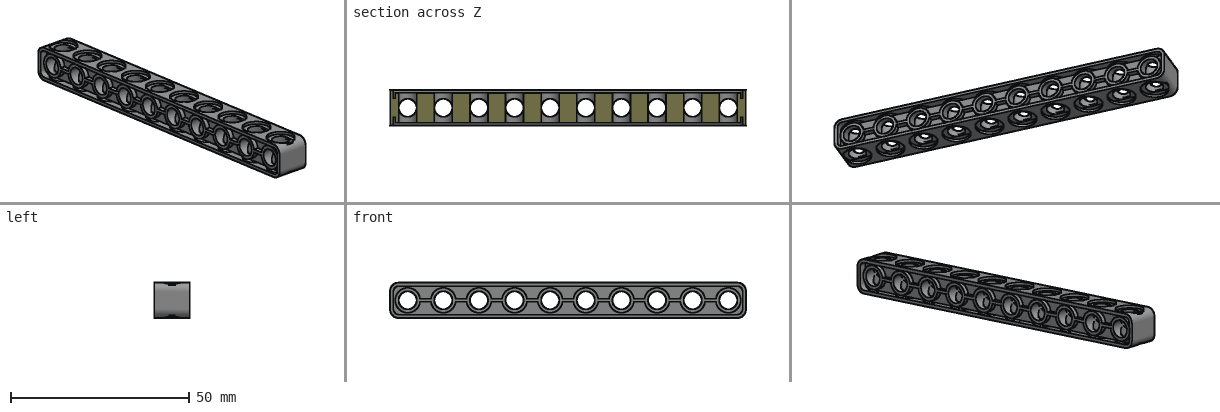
import cadquery as cq

pitch = 10.0
hole_count = 10
length = hole_count * pitch
width = pitch
height = pitch
corner_radius = 2.5

hole_diameter = 5.0
counterbore_diameter = 8.0
counterbore_depth = 0.8

wall = 1.0
pocket_depth = 2.3
boss_diameter = 7.0
boss_and_rib_recess = 0.8
rib_thickness = 0.9

hole_centers = [((i - (hole_count - 1) / 2) * pitch, 0) for i in range(hole_count)]


def rounded_bar(inset, depth):
    """Bar centred on the origin, its outline in XZ shrunk by inset, its depth along Y."""
    return (
        cq.Workplane("XY")
        .box(length - 2 * inset, depth, height - 2 * inset)
        .edges("|Y")
        .fillet(corner_radius - inset)
    )


def cylinders(plane, diameter, depth, offset=0.0):
    """Row of cylinders, one per hole, centred at offset along the plane normal."""
    return (
        cq.Workplane(plane)
        .workplane(offset=offset)
        .pushPoints(hole_centers)
        .circle(diameter / 2)
        .extrude(depth / 2, both=True)
    )


def make_body():
    """Solid core inside an outer rim, with bosses and ribs standing in both side pockets."""
    rim = rounded_bar(0, width).cut(rounded_bar(wall, width))
    core = rounded_bar(0, width - 2 * pocket_depth)
    inner_width = width - 2 * boss_and_rib_recess
    bosses = cylinders("XZ", boss_diameter, inner_width)
    rib = cq.Workplane("XY").box((hole_count - 1) * pitch, inner_width, rib_thickness)
    return rim.union(core).union(bosses).union(rib)


def cut_holes(body):
    """Drill both rows of holes and counterbore the vertical ones from above and below."""
    body = body.cut(cylinders("XZ", hole_diameter, width))
    body = body.cut(cylinders("XY", hole_diameter, height))
    for side in (-1, 1):
        offset = side * (height - counterbore_depth) / 2
        body = body.cut(cylinders("XY", counterbore_diameter, counterbore_depth, offset))
    return body


result = cut_holes(make_body())